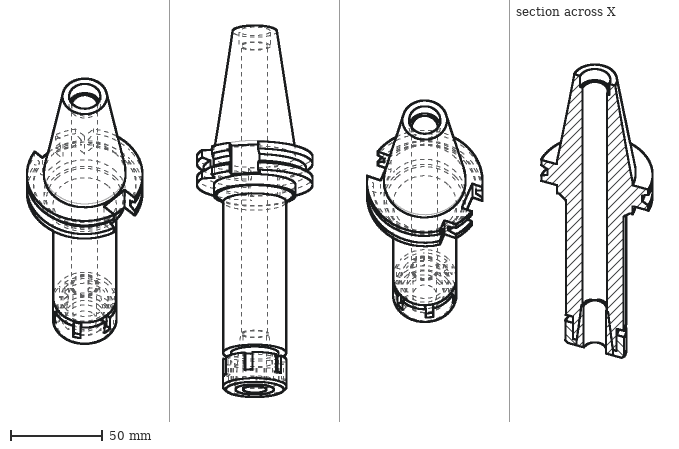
import cadquery as cq
import math

total_length = 203.5
flange_top_z = 132.2
flange_thickness = 16.0
collar_bottom_z = 110.2
shank_top_z = 106.5
shank_bottom_z = 20.7
nose_z = 4.0

flange_radius = 31.7
gauge_radius = 22.4
gauge_band_height = 3.0
taper_top_radius = 12.2
collar_cone_radius = 21.0
shank_radius = 17.3
neck_radius = 13.0

groove_floor_radius = 28.0
groove_floor_width = 3.7
groove_flank_angle = 30.0

drive_slot_width = 16.0
left_slot_distance = 24.8
right_slot_distance = 22.8
notch_distance = 18.7

pull_bore_radius = 8.5
pull_bore_depth = 8.3
through_bore_radius = 7.1

nut_radius = 17.5
nut_height = 16.5
nut_chamfer = 1.6
wrench_slot_count = 6
wrench_slot_width = 4.3
wrench_slot_length = 9.8
wrench_slot_floor = 14.8

collet_length = 31.5
collet_front_radius = 10.5
collet_rear_radius = 7.7
collet_bore_radius = 6.5

flange_bottom_z = flange_top_z - flange_thickness


def revolve_outline(points):
    """Turn a closed (radius, z) outline about the Z axis."""
    return cq.Workplane("XZ").polyline(points).close().revolve(360, (0, 0, 0), (0, 1, 0))


def cylinder(radius, bottom_z, top_z):
    """Solid cylinder on the Z axis between two heights."""
    return cq.Workplane("XY").workplane(offset=bottom_z).circle(radius).extrude(top_z - bottom_z)


def collet_envelope():
    """Straight front end inside the nut, then a taper inside the holder."""
    return revolve_outline([
        (0, 0),
        (collet_front_radius, 0),
        (collet_front_radius, nose_z),
        (collet_rear_radius, collet_length),
        (0, collet_length),
    ])


def holder_blank():
    """Solid turned shape: nose, shank, collar, flange and steep taper."""
    return revolve_outline([
        (0, nose_z),
        (neck_radius, nose_z),
        (neck_radius, shank_bottom_z),
        (shank_radius, shank_bottom_z),
        (shank_radius, shank_top_z),
        (collar_cone_radius, collar_bottom_z),
        (gauge_radius, collar_bottom_z),
        (gauge_radius, flange_bottom_z),
        (flange_radius, flange_bottom_z),
        (flange_radius, flange_top_z),
        (gauge_radius, flange_top_z),
        (gauge_radius, flange_top_z + gauge_band_height),
        (taper_top_radius, total_length),
        (0, total_length),
    ])


def gripper_groove():
    """V-shaped ring at mid height of the flange."""
    middle_z = flange_top_z - flange_thickness / 2
    floor_half = groove_floor_width / 2
    groove_depth = flange_radius - groove_floor_radius
    mouth_half = floor_half + groove_depth * math.tan(math.radians(groove_flank_angle))
    return revolve_outline([
        (groove_floor_radius, middle_z - floor_half),
        (flange_radius, middle_z - mouth_half),
        (flange_radius, middle_z + mouth_half),
        (groove_floor_radius, middle_z + floor_half),
    ])


def flange_cutter(x_min, x_max, y_min, y_max):
    """Rectangular cutter over the full thickness of the flange."""
    return (
        cq.Workplane("XY")
        .box(x_max - x_min, y_max - y_min, flange_thickness, centered=False)
        .translate((x_min, y_min, flange_bottom_z))
    )


def make_holder():
    slot_half = drive_slot_width / 2
    left_slot = flange_cutter(-flange_radius, -left_slot_distance, -slot_half, slot_half)
    right_slot = flange_cutter(right_slot_distance, flange_radius, -slot_half, slot_half)
    notch = flange_cutter(-flange_radius, -notch_distance, notch_distance, flange_radius)
    return (
        holder_blank()
        .cut(gripper_groove())
        .cut(left_slot)
        .cut(right_slot)
        .cut(notch)
        .cut(cylinder(pull_bore_radius, total_length - pull_bore_depth, total_length))
        .cut(cylinder(through_bore_radius, nose_z, total_length))
        .cut(collet_envelope())
    )


def make_nut():
    nut = cylinder(nut_radius, 0, nut_height).faces("<Z").chamfer(nut_chamfer)
    nut = nut.cut(cylinder(neck_radius, nose_z, nut_height))
    nut = nut.cut(cylinder(collet_front_radius, 0, nose_z))
    wrench_slot_depth = nut_radius - wrench_slot_floor
    wrench_slot = (
        cq.Workplane("XY")
        .box(wrench_slot_depth, wrench_slot_width, wrench_slot_length, centered=(False, True, False))
        .translate((wrench_slot_floor, 0, nut_height - wrench_slot_length))
    )
    for index in range(wrench_slot_count):
        angle = index * 360 / wrench_slot_count
        nut = nut.cut(wrench_slot.rotate((0, 0, 0), (0, 0, 1), angle))
    return nut


def make_collet():
    return collet_envelope().cut(cylinder(collet_bore_radius, 0, collet_length))


holder = make_holder()
nut = make_nut()
collet = make_collet()

result = cq.Compound.makeCompound([holder.val(), nut.val(), collet.val()])